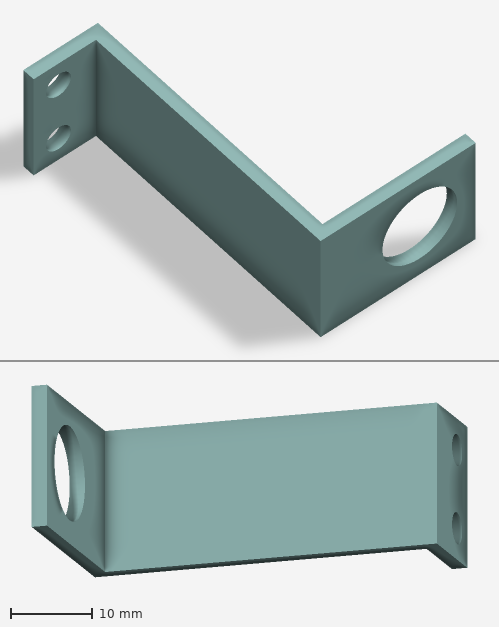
import cadquery as cq

length = 45.0
depth = 35.0
height = 18.0
thickness = 2.0
front_flange = 12.0

large_hole_diameter = 12.0
large_hole_inset = 9.0
small_hole_diameter = 4.0
small_hole_inset = 4.0
small_hole_spacing = 10.0

web_front = front_flange - thickness
mid_height = height / 2


def cross_hole(diameter, x, y, z):
    """Cylinder along +X that passes through the flange starting at x."""
    return cq.Workplane("YZ", origin=(x, y, z)).circle(diameter / 2).extrude(thickness)


outline = [
    (0, 0),
    (thickness, 0),
    (thickness, web_front),
    (length, web_front),
    (length, depth),
    (length - thickness, depth),
    (length - thickness, front_flange),
    (0, front_flange),
]
bracket = cq.Workplane("XY").polyline(outline).close().extrude(height)

bracket = bracket.cut(
    cross_hole(large_hole_diameter, length - thickness, depth - large_hole_inset, mid_height)
)

for side in (-1, 1):
    hole_height = mid_height + side * small_hole_spacing / 2
    bracket = bracket.cut(cross_hole(small_hole_diameter, 0, small_hole_inset, hole_height))

result = bracket